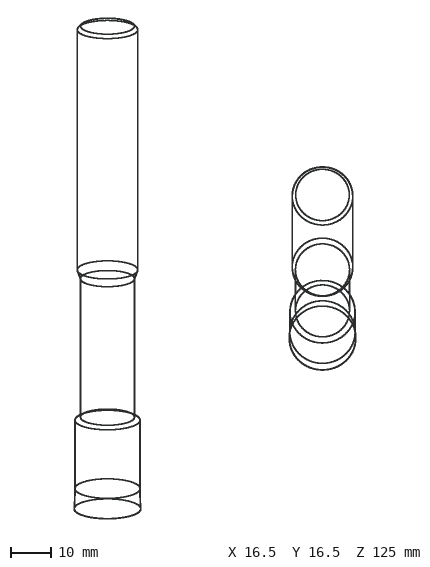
import cadquery as cq

total_length = 125.0
tip_height = 5.2
collar_top = 23.0
neck_bottom = 23.8
neck_top = 59.6
shank_bottom = 61.9

shank_diameter = 15.0
neck_diameter = 13.4
collar_diameter = 16.1
tip_diameter = 16.5

end_chamfer = 0.9


def make_holder():
    """Stepped round holder: collar, slim neck and chamfered shank, revolved about Z."""
    collar_radius = collar_diameter / 2
    neck_radius = neck_diameter / 2
    shank_radius = shank_diameter / 2
    profile = [
        (0, tip_height),
        (collar_radius, tip_height),
        (collar_radius, collar_top),
        (neck_radius, neck_bottom),
        (neck_radius, neck_top),
        (shank_radius, shank_bottom),
        (shank_radius, total_length - end_chamfer),
        (shank_radius - end_chamfer, total_length),
        (0, total_length),
    ]
    return cq.Workplane("XZ").polyline(profile).close().revolve(360, (0, 0, 0), (0, 1, 0))


def make_tip():
    """Round tip under the collar, flaring slightly from the collar diameter to its base."""
    profile = [
        (0, 0),
        (tip_diameter / 2, 0),
        (collar_diameter / 2, tip_height),
        (0, tip_height),
    ]
    return cq.Workplane("XZ").polyline(profile).close().revolve(360, (0, 0, 0), (0, 1, 0))


holder = make_holder()
tip = make_tip()

result = cq.Compound.makeCompound([holder.val(), tip.val()])